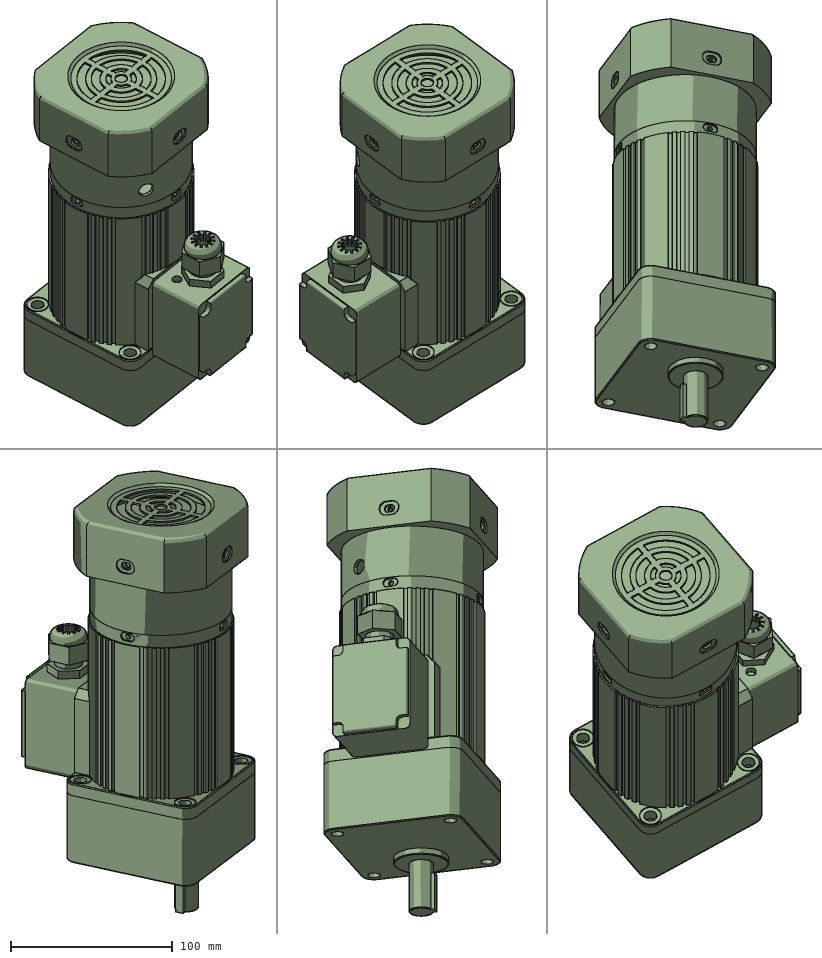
import cadquery as cq
import math

frame_size = 90.0
frame_corner_radius = 8.3
frame_edge_chamfer = 0.67

gearbox_height = 45.3
flange_height = 8.0
stator_length = 101.5
rim_height = 8.3
overall_width = 131.5
total_height = 232.0

bolt_spacing = 73.5
bolt_hole_diameter = 7.8
spot_face_diameter = 13.5
spot_face_depth = 0.5

shaft_offset = -18.0
shaft_diameter = 15.0
shaft_reach = 36.0
shaft_chamfer = 0.5
boss_diameter = 34.0
boss_height = 4.0
key_width = 5.0
key_length = 25.0
key_reach = 9.5

groove_width = 2.5
groove_depth = 1.3
groove_count = 4
first_groove_angle = 12.8
groove_pitch_angle = 6.7

sleeve_diameter = 88.0
sleeve_wall = 2.1
sleeve_end_thickness = 3.2
sleeve_drop = 10.7
sleeve_hole_diameter = 3.2
grommet_diameter = 9.5
grommet_angle = -30.5
grommet_drop = 57.0

rim_slot_length = 9.5
rim_slot_width = 5.4
rim_slot_depth = 1.3
rim_hole_diameter = 3.2
rim_hole_depth = 4.0
rim_slot_drop = 3.5

cover_width = 93.0
cover_corner_radius = 54.0
cover_height = 36.0
cover_fillet = 3.0
cover_roof = 2.7
cover_chamber_diameter = 70.5
cover_slot_length = 12.5
cover_slot_width = 9.0
cover_slot_depth = 1.0
cover_hole_length = 6.5
cover_hole_width = 4.8
cover_slot_drop = 23.9

grille_rim_diameter = 66.0
grille_floor_diameter = 62.2
grille_depth = 1.5
grille_rings = [(6.5, 9.5), (13.0, 18.5), (22.0, 27.3)]
grille_spoke_width = 4.0
grille_hub_hole_diameter = 7.8

box_width = 50.0
box_bottom = 46.0
box_height = 60.0
box_end = 81.7
box_fillet = 3.0
box_hole_diameter = 6.2
box_hole_depth = 4.0
box_hole_x = 55.0
box_hole_y = -13.0
pad_width = 58.2
pad_top = 108.3
pad_chamfer = 5.0
lid_inset = 0.8
lid_edge_fillet = 1.0
lid_notch = 7.0
lid_notch_radius = 3.2

gland_x = 64.9
gland_base_flats = 23.0
gland_base_height = 5.4
gland_neck_diameter = 17.5
gland_neck_height = 4.8
gland_nut_flats = 24.0
gland_nut_height = 12.0
gland_dome_diameter = 23.0
gland_dome_height = 6.5
gland_dome_fillet = 4.8
gland_bore_diameter = 10.0
gland_tooth_circle = 14.7
gland_tooth_count = 12
gland_slot_width = 1.3
gland_slot_depth = 5.4

frame_half = frame_size / 2
flange_top = gearbox_height + flange_height
stator_top = flange_top + stator_length
rim_top = stator_top + rim_height
cover_bottom = total_height - cover_height
sleeve_top = total_height - sleeve_drop
cover_slot_level = total_height - cover_slot_drop
box_top = box_bottom + box_height
lid_thickness = overall_width - cover_width / 2 - box_end
SIDE_ANGLES = [0, 90, 180, 270]


def cylinder(diameter, bottom, top, x=0.0, y=0.0):
    return cq.Workplane("XY", origin=(x, y, bottom)).circle(diameter / 2).extrude(top - bottom)


def hexagon(flats, bottom, height, x, turn):
    """Hexagonal prism on a vertical axis; with turn = 0 its corners point along X."""
    prism = cq.Workplane("XY").polygon(6, flats / math.cos(math.pi / 6)).extrude(height)
    return prism.rotate((0, 0, 0), (0, 0, 1), turn).translate((x, 0, bottom))


def side_slot(length, width, depth, face_distance, z):
    """Round-ended horizontal slot, or a round hole, sunk into the -Y side."""
    start = cq.Workplane("XZ", origin=(0, -face_distance, z))
    if length > width:
        return start.slot2D(length, width).extrude(-depth)
    return start.circle(width / 2).extrude(-depth)


def cut_on_sides(body, tool):
    """Cut the tool from all four sides."""
    for angle in SIDE_ANGLES:
        body = body.cut(tool.rotate((0, 0, 0), (0, 0, 1), angle))
    return body


def frame_block(bottom, height):
    block = cq.Workplane("XY", origin=(0, 0, bottom)).rect(frame_size, frame_size).extrude(height)
    return block.edges("|Z").fillet(frame_corner_radius)


def bolt_cylinders(diameter, bottom, top):
    corners = cq.Workplane("XY", origin=(0, 0, bottom)).rect(bolt_spacing, bolt_spacing, forConstruction=True)
    return corners.vertices().circle(diameter / 2).extrude(top - bottom)


def make_key():
    """Key along the +Y side of the shaft, round at its upper end."""
    tip = -shaft_reach
    radius = key_width / 2
    straight = key_length - radius
    outline = (
        cq.Workplane("XZ", origin=(shaft_offset, 0, tip))
        .moveTo(-radius, 0)
        .lineTo(-radius, straight)
        .threePointArc((0, key_length), (radius, straight))
        .lineTo(radius, 0)
        .close()
    )
    return outline.extrude(-key_reach)


def make_gearbox():
    gearbox = frame_block(0, gearbox_height).faces("<Z").edges().chamfer(frame_edge_chamfer)
    gearbox = gearbox.cut(bolt_cylinders(bolt_hole_diameter, 0, gearbox_height))
    boss = cylinder(boss_diameter, -boss_height, 0, shaft_offset).faces("<Z").edges().chamfer(shaft_chamfer)
    shaft = cylinder(shaft_diameter, -shaft_reach, 0, shaft_offset).faces("<Z").edges().chamfer(shaft_chamfer)
    return gearbox.union(boss).union(shaft).union(make_key())


def make_flange():
    flange = frame_block(gearbox_height, flange_height).faces(">Z").edges().chamfer(frame_edge_chamfer)
    flange = flange.cut(bolt_cylinders(bolt_hole_diameter, gearbox_height, flange_top))
    return flange.cut(bolt_cylinders(spot_face_diameter, flange_top - spot_face_depth, flange_top))


def groove_angles():
    """Angles of all grooves: a group on each side of the middle of each of the four sides."""
    steps = [first_groove_angle + i * groove_pitch_angle for i in range(groove_count)]
    return [side + sign * step for side in SIDE_ANGLES for sign in (-1, 1) for step in steps]


def make_stator():
    stator = cylinder(frame_size, flange_top, stator_top)
    groove = (
        cq.Workplane("XY", origin=(0, 0, flange_top))
        .center(frame_half, 0)
        .rect(2 * groove_depth, groove_width)
        .extrude(stator_length)
    )
    tools = [groove.rotate((0, 0, 0), (0, 0, 1), angle).val() for angle in groove_angles()]
    stator = stator.cut(cq.Workplane(cq.Compound.makeCompound(tools)))
    stator = stator.union(cylinder(sleeve_diameter, stator_top, rim_top))
    slot_level = rim_top - rim_slot_drop
    rim_radius = sleeve_diameter / 2
    slot = side_slot(rim_slot_length, rim_slot_width, rim_slot_depth, rim_radius, slot_level)
    hole = side_slot(rim_hole_diameter, rim_hole_diameter, rim_hole_depth, rim_radius, slot_level)
    return cut_on_sides(stator, slot.union(hole))


def make_sleeve():
    """Tube closed at the top, with a hole behind each slot of the fan cover and a grommet hole."""
    radius = sleeve_diameter / 2
    sleeve = cylinder(sleeve_diameter, rim_top, sleeve_top)
    bore_diameter = sleeve_diameter - 2 * sleeve_wall
    sleeve = sleeve.cut(cylinder(bore_diameter, rim_top, sleeve_top - sleeve_end_thickness))
    screw_hole = side_slot(sleeve_hole_diameter, sleeve_hole_diameter, radius, radius, cover_slot_level)
    sleeve = cut_on_sides(sleeve, screw_hole)
    grommet = (
        cq.Workplane("YZ", origin=(0, 0, total_height - grommet_drop))
        .circle(grommet_diameter / 2)
        .extrude(sleeve_diameter)
    )
    return sleeve.cut(grommet.rotate((0, 0, 0), (0, 0, 1), grommet_angle))


def grille_openings():
    """Ring slots through the roof, interrupted by a cross of spokes, and a hub hole."""
    floor = total_height - cover_roof
    openings = cq.Workplane("XY", origin=(0, 0, floor))
    for inner, outer in grille_rings:
        openings = openings.union(
            cq.Workplane("XY", origin=(0, 0, floor)).circle(outer).circle(inner).extrude(cover_roof)
        )
    for angle in (0, 90):
        spoke = (
            cq.Workplane("XY", origin=(0, 0, floor))
            .rect(grille_rim_diameter, grille_spoke_width)
            .extrude(cover_roof)
        )
        openings = openings.cut(spoke.rotate((0, 0, 0), (0, 0, 1), angle))
    return openings.union(cylinder(grille_hub_hole_diameter, floor, total_height))


def grille_recess():
    return (
        cq.Workplane("XY", origin=(0, 0, total_height - grille_depth))
        .circle(grille_floor_diameter / 2)
        .workplane(offset=grille_depth)
        .circle(grille_rim_diameter / 2)
        .loft(ruled=True)
    )


def make_fan_cover():
    base = cq.Workplane("XY", origin=(0, 0, cover_bottom))
    block = base.rect(cover_width, cover_width).extrude(cover_height)
    cover = block.intersect(cylinder(2 * cover_corner_radius, cover_bottom, total_height))
    cover = cover.faces(">Z").edges().fillet(cover_fillet)
    cover = cover.cut(cylinder(sleeve_diameter, cover_bottom, sleeve_top))
    cover = cover.cut(cylinder(cover_chamber_diameter, sleeve_top, total_height - cover_roof))
    cover = cover.cut(grille_recess()).cut(grille_openings())
    half = cover_width / 2
    slot = side_slot(cover_slot_length, cover_slot_width, cover_slot_depth, half, cover_slot_level)
    hole = side_slot(cover_hole_length, cover_hole_width, half, half, cover_slot_level)
    return cut_on_sides(cover, slot.union(hole))


def make_lid():
    """Lid with a round-cornered notch at each corner."""
    width = box_width - 2 * lid_inset
    height = box_height - 2 * lid_inset
    middle = box_bottom + box_height / 2
    lid = cq.Workplane("YZ", origin=(box_end, 0, middle)).rect(width, height).extrude(lid_thickness)
    notches = (
        cq.Workplane("YZ", origin=(box_end, 0, middle))
        .rect(width, height, forConstruction=True)
        .vertices()
        .rect(2 * lid_notch, 2 * lid_notch)
        .extrude(lid_thickness)
        .edges("|X")
        .fillet(lid_notch_radius)
    )
    return lid.faces(">X").edges().fillet(lid_edge_fillet).cut(notches)


def make_saddle():
    """Block on the side of the stator, its two upper edges chamfered."""
    height = pad_top - flange_top
    saddle = (
        cq.Workplane("XY", origin=(frame_half / 2, 0, flange_top))
        .rect(frame_half, pad_width)
        .extrude(height)
        .faces(">Z")
        .edges("|X")
        .chamfer(pad_chamfer)
    )
    return saddle.cut(cylinder(frame_size, flange_top, pad_top))


def make_terminal_box():
    length = box_end - frame_half
    box = (
        cq.Workplane("YZ", origin=(frame_half, 0, box_bottom + box_height / 2))
        .rect(box_width, box_height)
        .extrude(length)
        .edges("|X")
        .fillet(box_fillet)
    )
    box = box.union(make_saddle()).union(make_lid())
    return box.cut(cylinder(box_hole_diameter, box_top - box_hole_depth, box_top, box_hole_x, box_hole_y))


def make_cable_gland():
    neck_bottom = box_top + gland_base_height
    nut_bottom = neck_bottom + gland_neck_height
    nut_top = nut_bottom + gland_nut_height
    gland_top = nut_top + gland_dome_height
    gland = hexagon(gland_base_flats, box_top, gland_base_height, gland_x, 30)
    gland = gland.union(cylinder(gland_neck_diameter, neck_bottom, nut_bottom, gland_x))
    gland = gland.union(hexagon(gland_nut_flats, nut_bottom, gland_nut_height, gland_x, 0))
    dome = cylinder(gland_dome_diameter, nut_top, gland_top, gland_x)
    gland = gland.union(dome.faces(">Z").edges().fillet(gland_dome_fillet))
    gland = gland.cut(cylinder(gland_bore_diameter, box_top, gland_top, gland_x))
    slot_length = gland_tooth_circle / 2
    slot = (
        cq.Workplane("XY", origin=(gland_x, 0, gland_top - gland_slot_depth))
        .center(slot_length / 2, 0)
        .rect(slot_length, gland_slot_width)
        .extrude(gland_slot_depth)
    )
    for i in range(gland_tooth_count):
        gland = gland.cut(slot.rotate((gland_x, 0, 0), (gland_x, 0, 1), i * 360 / gland_tooth_count))
    return gland


gearbox = make_gearbox()
flange = make_flange()
stator = make_stator()
sleeve = make_sleeve()
fan_cover = make_fan_cover()
terminal_box = make_terminal_box()
cable_gland = make_cable_gland()

result = cq.Compound.makeCompound(
    [
        gearbox.solids().val(),
        flange.solids().val(),
        stator.solids().val(),
        sleeve.solids().val(),
        fan_cover.solids().val(),
        terminal_box.solids().val(),
        cable_gland.solids().val(),
    ]
)